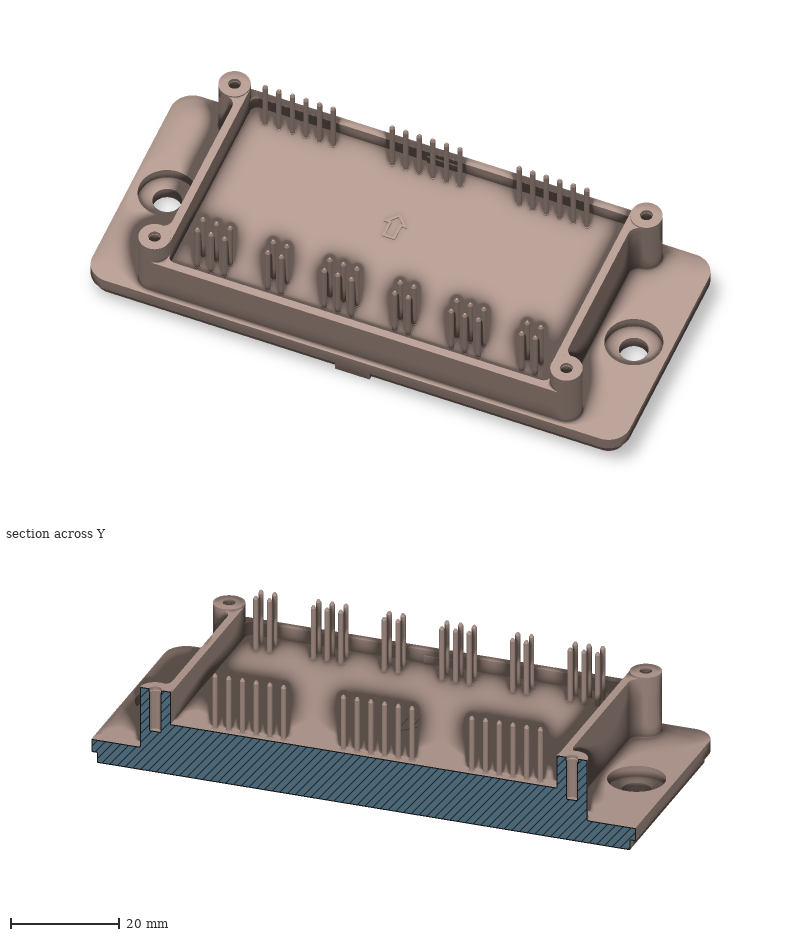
import cadquery as cq
import math

PLATE_LENGTH = 107.2
PLATE_WIDTH = 47.0
PLATE_TOP = 4.6
PLATE_CORNER_RADIUS = 4.3
BASE_HEIGHT = 2.0
BASE_INSET = 1.1

TAB_LENGTH = 6.9
TAB_BOTTOM = 0.3

MOUNT_SPACING = 93.0
MOUNT_DIAMETER = 5.5
COUNTERBORE_DIAMETER = 10.9
COUNTERBORE_DEPTH = 2.1

FLOOR_TOP = 10.3
LONG_WALL_TOP = 13.0
SHORT_WALL_TOP = 16.6
CAVITY_LENGTH = 76.0
CAVITY_WIDTH = 41.9
CAVITY_CORNER_RADIUS = 1.5
HOUSING_WIDTH = 45.0
SHORT_WALL_THICKNESS = 1.5
WALL_FOOT_RADIUS = 0.3
KEY_LENGTH = 6.3
KEY_DEPTH = 0.3
KEY_HEIGHT = 1.6

BOSS_X = 41.1
BOSS_DIAMETER = 6.0
BOSS_TOP = 16.9
BOSS_BLEND_RADIUS = 2.0
BOSS_HOLE_DIAMETER = 2.4
BOSS_HOLE_DEPTH = 8.6
BOSS_LEAD_DEPTH = 0.6
BOSS_CORE_DIAMETER = 2.1

PIN_SHOULDER = 20.8
PIN_DIAMETER = 1.0
PIN_TIP_INSET = 0.27
PIN_TIP_HEIGHT = 0.49
PIN_COLLAR_DIAMETER = 1.4
PIN_COLLAR_HEIGHT = 0.1
BACK_ROW_COUNT = 6
BACK_ROW_LENGTH = 13.5
PHASE_COUNT = 3
PHASE_SPAN = 50.6
OUTER_ROW_Y = 18.0
BACK_ROW_X = -34.3
FRONT_TRIPLE_X = -33.1
FRONT_PAIR_X = -19.1

ARROW_X = -3.0
ARROW_TIP_Y = 7.3
ARROW_HEAD_Y = 4.7
ARROW_TAIL_Y = 1.4
ARROW_HEAD_HALF_WIDTH = 2.4
ARROW_SHAFT_HALF_WIDTH = 1.3
ARROW_LINE_WIDTH = 0.48
ARROW_HEIGHT = 0.2

pin_top = PIN_SHOULDER + PIN_TIP_HEIGHT
phase_pitch = PHASE_SPAN / (PHASE_COUNT - 1)
pin_pitch = BACK_ROW_LENGTH / (BACK_ROW_COUNT - 1)
boss_radius = BOSS_DIAMETER / 2
wall_outer_x = CAVITY_LENGTH / 2 + SHORT_WALL_THICKNESS
wall_outer_y = HOUSING_WIDTH / 2
boss_y = wall_outer_y - boss_radius


def block(length, width, bottom, top, corner_radius=0.0):
    """Centred rectangular block between two heights, with optional rounded upright edges."""
    solid = cq.Workplane("XY").workplane(offset=bottom).rect(length, width).extrude(top - bottom)
    if corner_radius:
        solid = solid.edges("|Z").fillet(corner_radius)
    return solid


def cylinder(x, y, diameter, bottom, top):
    base = cq.Workplane("XY").workplane(offset=bottom).center(x, y)
    return base.circle(diameter / 2).extrude(top - bottom)


def make_plate():
    base = block(
        PLATE_LENGTH - 2 * BASE_INSET,
        PLATE_WIDTH - 2 * BASE_INSET,
        0,
        BASE_HEIGHT,
        PLATE_CORNER_RADIUS - BASE_INSET,
    )
    frame = block(PLATE_LENGTH, PLATE_WIDTH, BASE_HEIGHT, PLATE_TOP, PLATE_CORNER_RADIUS)
    tabs = block(TAB_LENGTH, PLATE_WIDTH, TAB_BOTTOM, BASE_HEIGHT)
    return base.union(frame).union(tabs)


def make_boss():
    """Boss of the +X +Y corner with the curved web that blends it into the short wall."""
    blend_x = wall_outer_x + BOSS_BLEND_RADIUS
    reach = boss_radius + BOSS_BLEND_RADIUS
    blend_y = boss_y - math.sqrt(reach**2 - (blend_x - BOSS_X) ** 2)
    tangent_x = BOSS_X + (blend_x - BOSS_X) * boss_radius / reach
    tangent_y = boss_y + (blend_y - boss_y) * boss_radius / reach
    start_angle = math.pi
    end_angle = math.atan2(tangent_y - blend_y, tangent_x - blend_x)
    middle_angle = (start_angle + end_angle) / 2
    middle_x = blend_x + BOSS_BLEND_RADIUS * math.cos(middle_angle)
    middle_y = blend_y + BOSS_BLEND_RADIUS * math.sin(middle_angle)
    web = (
        cq.Workplane("XY")
        .workplane(offset=PLATE_TOP)
        .moveTo(wall_outer_x, blend_y)
        .threePointArc((middle_x, middle_y), (tangent_x, tangent_y))
        .lineTo(BOSS_X, boss_y)
        .lineTo(wall_outer_x, boss_y)
        .close()
        .extrude(SHORT_WALL_TOP - PLATE_TOP)
    )
    return cylinder(BOSS_X, boss_y, BOSS_DIAMETER, PLATE_TOP, BOSS_TOP).union(web)


def make_housing():
    """Low long walls, tall short walls and four bosses, still filled up inside the walls."""
    housing = block(2 * BOSS_X, 2 * wall_outer_y, PLATE_TOP, LONG_WALL_TOP)
    end_recess_length = BOSS_X - wall_outer_x
    for side in (-1, 1):
        recess = block(end_recess_length, 2 * boss_y, PLATE_TOP, LONG_WALL_TOP)
        housing = housing.cut(recess.translate((side * (wall_outer_x + end_recess_length / 2), 0, 0)))
        short_wall = block(SHORT_WALL_THICKNESS, 2 * boss_y, PLATE_TOP, SHORT_WALL_TOP)
        housing = housing.union(short_wall.translate((side * (wall_outer_x - SHORT_WALL_THICKNESS / 2), 0, 0)))
    boss_pair = make_boss()
    boss_pair = boss_pair.union(boss_pair.mirror("YZ"))
    return housing.union(boss_pair).union(boss_pair.mirror("XZ"))


def round_wall_foot(body):
    """Small concave fillet where the housing rises from the plate."""
    foot_region = cq.selectors.BoxSelector(
        (-MOUNT_SPACING / 2, -wall_outer_y - WALL_FOOT_RADIUS, PLATE_TOP - WALL_FOOT_RADIUS),
        (MOUNT_SPACING / 2, wall_outer_y + WALL_FOOT_RADIUS, PLATE_TOP + WALL_FOOT_RADIUS),
    )
    return body.edges(foot_region).fillet(WALL_FOOT_RADIUS)


def make_cavity():
    """Space above the floor, narrowed by a low key at the middle of each long wall."""
    cavity = block(CAVITY_LENGTH, CAVITY_WIDTH, FLOOR_TOP, BOSS_TOP, CAVITY_CORNER_RADIUS)
    for side in (-1, 1):
        key = block(KEY_LENGTH, KEY_DEPTH, FLOOR_TOP, FLOOR_TOP + KEY_HEIGHT)
        cavity = cavity.cut(key.translate((0, side * (CAVITY_WIDTH - KEY_DEPTH) / 2, 0)))
    return cavity


def make_boss_hole(x, y):
    """Screw hole with a slightly wider lead-in."""
    lead_step = (BOSS_HOLE_DIAMETER - BOSS_CORE_DIAMETER) / 2
    lead_bottom = BOSS_TOP - BOSS_LEAD_DEPTH
    lead = cylinder(x, y, BOSS_HOLE_DIAMETER, lead_bottom - lead_step, BOSS_TOP)
    lead = lead.faces("<Z").chamfer(lead_step)
    return lead.union(cylinder(x, y, BOSS_CORE_DIAMETER, BOSS_TOP - BOSS_HOLE_DEPTH, BOSS_TOP))


def make_mount_hole(x):
    hole = cylinder(x, 0, MOUNT_DIAMETER, 0, PLATE_TOP)
    return hole.union(cylinder(x, 0, COUNTERBORE_DIAMETER, PLATE_TOP - COUNTERBORE_DEPTH, PLATE_TOP))


def make_arrow():
    """Arrow-shaped outline standing proud of the floor and pointing towards +Y."""
    arrow = (
        cq.Workplane("XY")
        .workplane(offset=FLOOR_TOP)
        .moveTo(ARROW_X, ARROW_TIP_Y)
        .lineTo(ARROW_X + ARROW_HEAD_HALF_WIDTH, ARROW_HEAD_Y)
        .lineTo(ARROW_X + ARROW_SHAFT_HALF_WIDTH, ARROW_HEAD_Y)
        .lineTo(ARROW_X + ARROW_SHAFT_HALF_WIDTH, ARROW_TAIL_Y)
        .lineTo(ARROW_X - ARROW_SHAFT_HALF_WIDTH, ARROW_TAIL_Y)
        .lineTo(ARROW_X - ARROW_SHAFT_HALF_WIDTH, ARROW_HEAD_Y)
        .lineTo(ARROW_X - ARROW_HEAD_HALF_WIDTH, ARROW_HEAD_Y)
        .close()
        .extrude(ARROW_HEIGHT)
    )
    rim = arrow.faces("<Z").wires().toPending()
    island = rim.offset2D(-ARROW_LINE_WIDTH, "intersection").extrude(ARROW_HEIGHT, combine=False)
    return arrow.cut(island)


def pin_positions():
    """Six pins at the back and a 3 x 2 and a 2 x 2 cluster at the front, for each of three phases."""
    inner_row_y = OUTER_ROW_Y - pin_pitch
    rows = [
        (BACK_ROW_X, BACK_ROW_COUNT, OUTER_ROW_Y),
        (FRONT_TRIPLE_X, 3, -OUTER_ROW_Y),
        (FRONT_TRIPLE_X, 3, -inner_row_y),
        (FRONT_PAIR_X, 2, -OUTER_ROW_Y),
        (FRONT_PAIR_X, 2, -inner_row_y),
    ]
    return [
        (first_x + phase * phase_pitch + index * pin_pitch, y)
        for phase in range(PHASE_COUNT)
        for first_x, count, y in rows
        for index in range(count)
    ]


def make_pins():
    floor_points = cq.Workplane("XY").workplane(offset=FLOOR_TOP).pushPoints(pin_positions())
    collars = floor_points.circle(PIN_COLLAR_DIAMETER / 2).extrude(PIN_COLLAR_HEIGHT)
    pins = floor_points.circle(PIN_DIAMETER / 2).extrude(pin_top - FLOOR_TOP)
    return collars.union(pins.faces(">Z").chamfer(PIN_TIP_HEIGHT, PIN_TIP_INSET))


body = round_wall_foot(make_plate().union(make_housing()))
body = body.cut(make_cavity())
for x_side in (-1, 1):
    body = body.cut(make_mount_hole(x_side * MOUNT_SPACING / 2))
    for y_side in (-1, 1):
        body = body.cut(make_boss_hole(x_side * BOSS_X, y_side * boss_y))
result = body.union(make_arrow()).union(make_pins())